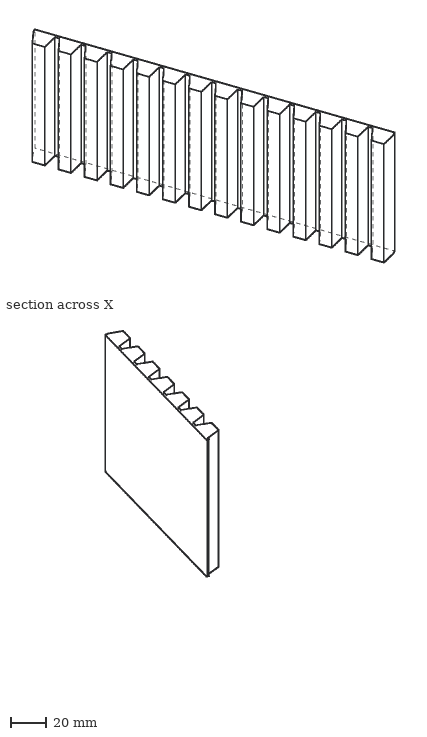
import cadquery as cq

length = 219.0
depth = 10.5
height = 101.6

backing_thickness = 1.5
end_wall_depth = 2.2
tooth_count = 14
tooth_root_width = 13.1
tooth_tip_width = 7.7

half_root = tooth_root_width / 2
half_tip = tooth_tip_width / 2

back_y = depth / 2
root_y = back_y - backing_thickness
end_wall_y = back_y - end_wall_depth
tip_y = -depth / 2

flank_slope = (half_root - half_tip) / (root_y - tip_y)
half_trimmed = half_root - flank_slope * (root_y - end_wall_y)
tooth_pitch = (length - 2 * half_trimmed) / (tooth_count - 1)


def tooth_center(index):
    """X position of a tooth, counted from the -X end."""
    return (index - (tooth_count - 1) / 2) * tooth_pitch


def belt_profile():
    """Points of the XY outline: the teeth from -X to +X, then the back edge."""
    points = [(-length / 2, back_y), (-length / 2, end_wall_y)]
    for index in range(tooth_count):
        center_x = tooth_center(index)
        if index > 0:
            points.append((center_x - half_root, root_y))
        points.append((center_x - half_tip, tip_y))
        points.append((center_x + half_tip, tip_y))
        if index < tooth_count - 1:
            points.append((center_x + half_root, root_y))
    points += [(length / 2, end_wall_y), (length / 2, back_y)]
    return points


result = (
    cq.Workplane("XY")
    .workplane(offset=-height / 2)
    .polyline(belt_profile())
    .close()
    .extrude(height)
)